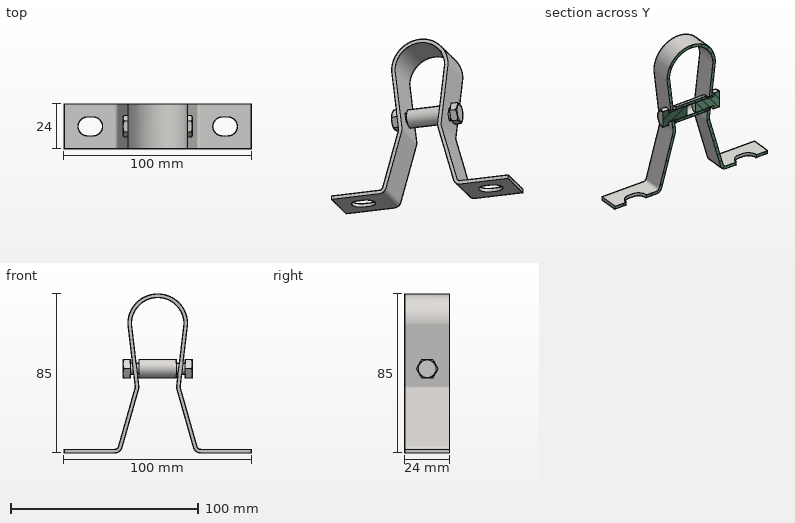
import cadquery as cq
import math

strap_length = 100.0
strap_width = 24.0
thickness = 2.0
loop_radius = 16.0
loop_center_z = 69.0
knee_x, knee_z = 12.0, 35.1
foot_x = 21.4
bend_radius = 2.0
slot_length = 13.0
slot_width = 10.0
slot_spacing = 72.0
bolt_hole_diameter = 7.0

axis_z = 45.0
spacer_length = 20.0
spacer_diameter = 10.0
thread_diameter = 6.0
shank_length = 12.0
head_gap = 4.6
head_height = 4.0
head_across_flats = 10.0
head_face_diameter = 9.5
head_chamfer_angle = 30.0


def face_normal(low, high):
    """Unit normal of a leg on its outer side, for a leg running from low to high."""
    dx, dz = high[0] - low[0], high[1] - low[1]
    length = math.hypot(dx, dz)
    return dz / length, -dx / length


def inset_corner(corner, normal_a, normal_b):
    """Corner of the opposite face, one thickness behind two meeting faces."""
    scale = thickness / (1 + normal_a[0] * normal_b[0] + normal_a[1] * normal_b[1])
    return (
        corner[0] - scale * (normal_a[0] + normal_b[0]),
        corner[1] - scale * (normal_a[1] + normal_b[1]),
    )


def mirrored(point):
    return -point[0], point[1]


def round_bend(body, concave_corner, convex_corner):
    """Round both faces of one bend about a common center line."""
    for corner, radius in (
        (concave_corner, bend_radius),
        (convex_corner, bend_radius + thickness),
    ):
        middle = (corner[0], 0, corner[1])
        body = body.edges("|Y").edges(cq.selectors.NearestToPointSelector(middle)).fillet(radius)
    return body


def make_strap():
    end_x = strap_length / 2
    inner_radius = loop_radius - thickness
    loop_end = (loop_radius, loop_center_z)
    inner_loop_end = (inner_radius, loop_center_z)
    knee = (knee_x, knee_z)
    foot = (foot_x, thickness)
    upper_normal = face_normal(knee, loop_end)
    lower_normal = face_normal(foot, knee)
    inner_knee = inset_corner(knee, upper_normal, lower_normal)
    inner_foot = inset_corner(foot, lower_normal, (0, 1))

    outline = (
        cq.Workplane("XZ")
        .moveTo(end_x, 0)
        .lineTo(end_x, thickness)
        .lineTo(*foot)
        .lineTo(*knee)
        .lineTo(*loop_end)
        .threePointArc((0, loop_center_z + loop_radius), mirrored(loop_end))
        .lineTo(*mirrored(knee))
        .lineTo(*mirrored(foot))
        .lineTo(-end_x, thickness)
        .lineTo(-end_x, 0)
        .lineTo(*mirrored(inner_foot))
        .lineTo(*mirrored(inner_knee))
        .lineTo(*mirrored(inner_loop_end))
        .threePointArc((0, loop_center_z + inner_radius), inner_loop_end)
        .lineTo(*inner_knee)
        .lineTo(*inner_foot)
        .close()
    )
    body = outline.extrude(strap_width / 2, both=True)

    for concave, convex in ((knee, inner_knee), (foot, inner_foot)):
        body = round_bend(body, concave, convex)
        body = round_bend(body, mirrored(concave), mirrored(convex))

    slots = (
        cq.Workplane("XY")
        .pushPoints([(-slot_spacing / 2, 0), (slot_spacing / 2, 0)])
        .slot2D(slot_length, slot_width)
        .extrude(thickness)
    )
    bolt_holes = (
        cq.Workplane("YZ")
        .center(0, axis_z)
        .circle(bolt_hole_diameter / 2)
        .extrude(loop_radius, both=True)
    )
    return body.cut(slots).cut(bolt_holes)


def make_spacer():
    """Tube threaded from both ends by the two bolts."""
    return (
        cq.Workplane("YZ", origin=(-spacer_length / 2, 0, axis_z))
        .circle(spacer_diameter / 2)
        .circle(thread_diameter / 2)
        .extrude(spacer_length)
    )


def make_bolt():
    """Hexagon bolt on the +X side, with its head facing outward."""
    head_start = spacer_length / 2 + head_gap
    head_end = head_start + head_height
    corner_radius = head_across_flats / 2 / math.cos(math.radians(30))
    face_radius = head_face_diameter / 2
    chamfer_depth = (corner_radius - face_radius) * math.tan(math.radians(head_chamfer_angle))

    head = (
        cq.Workplane("YZ", origin=(head_start, 0, axis_z))
        .polygon(6, 2 * corner_radius)
        .extrude(head_height)
    )
    chamfer_envelope = (
        cq.Workplane("XY", origin=(0, 0, axis_z))
        .moveTo(head_start, 0)
        .lineTo(head_start, corner_radius)
        .lineTo(head_end - chamfer_depth, corner_radius)
        .lineTo(head_end, face_radius)
        .lineTo(head_end, 0)
        .close()
        .revolve(360, (0, 0), (1, 0))
    )
    shank = (
        cq.Workplane("YZ", origin=(head_start, 0, axis_z))
        .circle(thread_diameter / 2)
        .extrude(-shank_length)
    )
    return head.intersect(chamfer_envelope).union(shank)


strap = make_strap()
spacer = make_spacer()
bolts = [make_bolt().rotate((0, 0, 0), (0, 0, 1), angle) for angle in (0, 180)]

result = cq.Compound.makeCompound([strap.val(), spacer.val(), *[bolt.val() for bolt in bolts]])